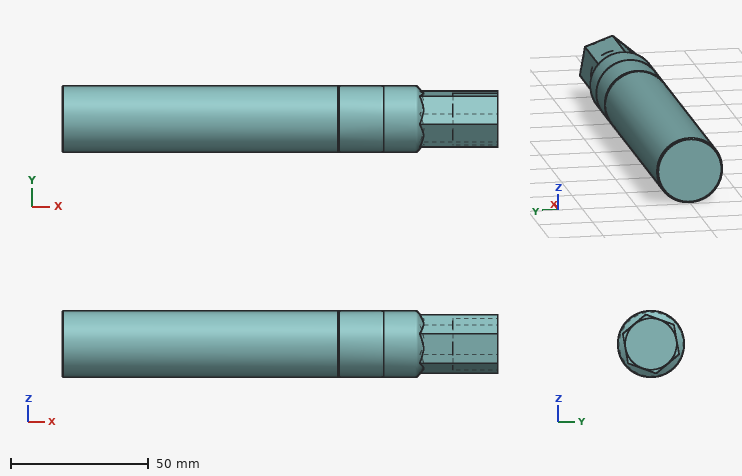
import cadquery as cq
import math

length = 158.2
diameter = 24.2
radius = diameter / 2

shank_length = 116.8
end_chamfer = 0.5
shank_taper_length = 1.0
shank_taper_depth = 0.08
groove_start = 100.1
groove_width = 0.5
groove_depth = 0.3

cone_start = 128.8
cone_angle = 50.0
shoulder_round = 1.3
root_blend = 1.3
hex_flats = 18.8
hex_turn = 100.0
bore_radius = 9.3
bore_depth = 16.5

hex_corner_diameter = hex_flats / math.cos(math.pi / 6)
cone_slope = math.radians(cone_angle)
root_radius = bore_radius
cone_end = cone_start + (radius - root_radius) / math.tan(cone_slope)


def revolve_about_x(profile):
    """Turn a closed profile, drawn as (x, radius), fully around the X axis."""
    return profile.revolve(360, (0, 0, 0), (1, 0, 0))


def make_shank():
    """Solid bar with a chamfered free end, a shallow groove and a slight taper at the joint."""
    groove_end = groove_start + groove_width
    groove_radius = radius - groove_depth
    profile = (
        cq.Workplane("XY")
        .moveTo(0, 0)
        .lineTo(0, radius - end_chamfer)
        .lineTo(end_chamfer, radius)
        .lineTo(groove_start, radius)
        .lineTo(groove_start, groove_radius)
        .lineTo(groove_end, groove_radius)
        .lineTo(groove_end, radius)
        .lineTo(shank_length - shank_taper_length, radius)
        .lineTo(shank_length, radius - shank_taper_depth)
        .lineTo(shank_length, 0)
        .close()
    )
    return revolve_about_x(profile)


def make_collar():
    """Round collar whose conical shoulder has a rounded edge and a concave root blend."""
    sine, cosine = math.sin(cone_slope), math.cos(cone_slope)
    half_sine, half_cosine = math.sin(cone_slope / 2), math.cos(cone_slope / 2)
    tangent_factor = math.tan(cone_slope / 2)

    round_start = cone_start - shoulder_round * tangent_factor
    round_center = radius - shoulder_round
    round_middle = (round_start + shoulder_round * half_sine, round_center + shoulder_round * half_cosine)
    round_end = (round_start + shoulder_round * sine, round_center + shoulder_round * cosine)

    blend_end = cone_end + root_blend * tangent_factor
    blend_center = root_radius + root_blend
    blend_start = (blend_end - root_blend * sine, blend_center - root_blend * cosine)
    blend_middle = (blend_end - root_blend * half_sine, blend_center - root_blend * half_cosine)

    profile = (
        cq.Workplane("XY")
        .moveTo(shank_length, 0)
        .lineTo(shank_length, radius)
        .lineTo(round_start, radius)
        .threePointArc(round_middle, round_end)
        .lineTo(*blend_start)
        .threePointArc(blend_middle, (blend_end, root_radius))
        .lineTo(blend_end, 0)
        .close()
    )
    return revolve_about_x(profile)


def make_hexagon():
    """Hexagonal bar that starts inside the collar and reaches the end of the tool."""
    return (
        cq.Workplane("YZ", origin=(shank_length, 0, 0))
        .transformed(rotate=(0, 0, hex_turn))
        .polygon(6, hex_corner_diameter)
        .extrude(length - shank_length)
    )


def make_bore():
    """Blind bore in the end of the hexagon, leaving a thin wall at each flat."""
    return (
        cq.Workplane("YZ", origin=(length - bore_depth, 0, 0))
        .circle(bore_radius)
        .extrude(bore_depth)
    )


def make_head():
    """Collar and hexagon in one piece, bored from the free end."""
    return make_collar().union(make_hexagon()).cut(make_bore())


shank = make_shank()
head = make_head()
result = cq.Compound.makeCompound([shank.val(), head.val()])